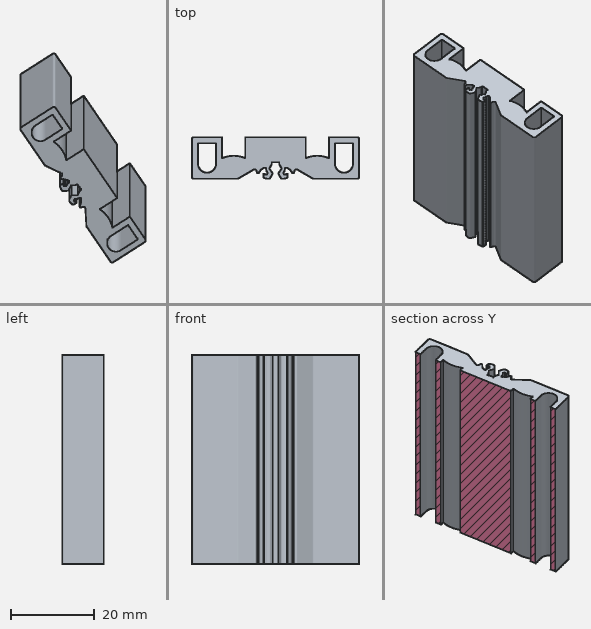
import cadquery as cq

width = 40.0
depth = 10.0
length = 50.0
half_width = width / 2
back = depth / 2
front = -depth / 2
corner_radius = 0.5

channel_inner = 7.25
channel_outer = 12.75
channel_middle = (channel_inner + channel_outer) / 2
channel_edge_y = front + 5.0
channel_crown_y = front + 5.55

cavity_inner = 14.25
cavity_outer = 18.5
cavity_radius = (cavity_outer - cavity_inner) / 2
cavity_middle = (cavity_outer + cavity_inner) / 2
cavity_wall = 1.5
cavity_back = back - cavity_wall
cavity_arc_y = front + cavity_wall + cavity_radius

ramp_foot = (9.0, 0.0)
ramp_foot_radius = 0.5
ramp_top = (5.3, 2.15)
ramp_round_middle = (4.85, 2.25)
ramp_round_end = (4.55, 1.85)
rib_outer = (4.4, 1.35)
rib_inner = (4.0, 1.35)
rib_arc_middle = (3.4, 2.2)
rib_arc_end = (2.6, 2.65)

leg_root = (2.3, 2.65)
leg_bend = (2.25, 2.05)
hook_throat = (1.9, 1.35)
hook_floor = (2.15, 1.0)
hook_lip_inner = (2.45, 1.0)
hook_lip_top = (2.6, 1.25)
hook_lip_outer = (2.9, 1.25)
hook_side = (2.9, 0.35)
hook_side_end = (2.65, 0.15)
hook_foot = (2.0, 0.0)
hook_nose = (1.35, 0.0)
hook_nose_radius = 0.5
screw_pinch = (0.65, 1.3)
screw_waist = (1.45, 2.5)
screw_shoulder = (0.85, 3.5)
screw_end = (0.85, 3.95)


def recess_point(offset):
    """Convert a front recess point to profile coordinates."""
    return offset[0], front + offset[1]


def round_edge(body, offset, radius):
    """Fillet the lengthwise edge at a front recess point."""
    selector = cq.selectors.NearestToPointSelector((*recess_point(offset), 0))
    return body.edges(selector).fillet(radius)


def make_half():
    """Extrude the +X half of the section, without its cavity."""
    profile = (
        cq.Workplane("XY")
        .workplane(offset=-length / 2)
        .moveTo(0, back)
        .lineTo(channel_inner, back)
        .lineTo(channel_inner, channel_edge_y)
        .threePointArc((channel_middle, channel_crown_y), (channel_outer, channel_edge_y))
        .lineTo(channel_outer, back)
        .lineTo(half_width, back)
        .lineTo(half_width, front)
        .lineTo(*recess_point(ramp_foot))
        .lineTo(*recess_point(ramp_top))
        .threePointArc(recess_point(ramp_round_middle), recess_point(ramp_round_end))
        .lineTo(*recess_point(rib_outer))
        .lineTo(*recess_point(rib_inner))
        .threePointArc(recess_point(rib_arc_middle), recess_point(rib_arc_end))
    )
    leg_points = [
        leg_root,
        leg_bend,
        hook_throat,
        hook_floor,
        hook_lip_inner,
        hook_lip_top,
        hook_lip_outer,
        hook_side,
        hook_side_end,
        hook_foot,
        hook_nose,
        screw_pinch,
        screw_waist,
        screw_shoulder,
        screw_end,
    ]
    for point in leg_points:
        profile = profile.lineTo(*recess_point(point))
    profile = profile.lineTo(0, front + screw_end[1]).close()
    half = profile.extrude(length)
    half = half.faces(">X").edges("|Z").fillet(corner_radius)
    half = round_edge(half, ramp_foot, ramp_foot_radius)
    return round_edge(half, hook_nose, hook_nose_radius)


def make_cavity():
    """Cutter for the through cavity on the +X side."""
    return (
        cq.Workplane("XY")
        .workplane(offset=-length / 2)
        .moveTo(cavity_inner, cavity_back)
        .lineTo(cavity_outer, cavity_back)
        .lineTo(cavity_outer, cavity_arc_y)
        .threePointArc(
            (cavity_middle, cavity_arc_y - cavity_radius),
            (cavity_inner, cavity_arc_y),
        )
        .close()
        .extrude(length)
    )


right_half = make_half().cut(make_cavity())
result = right_half.union(right_half.mirror("YZ")).clean()